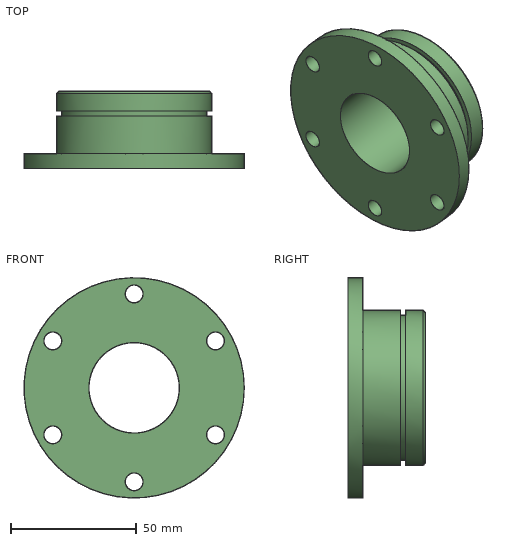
import cadquery as cq

flange_diameter = 88.0
flange_thickness = 6.0
total_length = 31.0
hub_diameter = 62.0
bore_diameter = 36.0
hub_end_chamfer = 1.0

groove_width = 2.0
groove_diameter = 58.0
groove_to_hub_end = 8.0

bolt_hole_count = 6
bolt_hole_diameter = 7.0
bolt_circle_diameter = 75.0
first_bolt_angle = 90.0


def cylinder_along_y(diameter, start, length):
    """Cylinder on the Y axis that runs toward +Y from y = start."""
    return cq.Workplane("XZ").workplane(offset=-start).circle(diameter / 2).extrude(-length)


def make_body():
    """Flange with its front face at y = 0, and the hub with a chamfered far end."""
    flange = cylinder_along_y(flange_diameter, 0, flange_thickness)
    hub = cylinder_along_y(hub_diameter, 0, total_length)
    hub = hub.faces(">Y").edges().chamfer(hub_end_chamfer)
    return flange.union(hub)


def make_groove():
    """Ring to remove from the outside of the hub."""
    groove_start = total_length - groove_to_hub_end - groove_width
    outer = cylinder_along_y(hub_diameter, groove_start, groove_width)
    inner = cylinder_along_y(groove_diameter, groove_start, groove_width)
    return outer.cut(inner)


def make_bolt_holes():
    """Evenly spaced cylinders to remove from the flange."""
    return (
        cq.Workplane("XZ")
        .polarArray(bolt_circle_diameter / 2, first_bolt_angle, 360, bolt_hole_count)
        .circle(bolt_hole_diameter / 2)
        .extrude(-flange_thickness)
    )


bore = cylinder_along_y(bore_diameter, 0, total_length)

result = make_body().cut(make_groove()).cut(bore).cut(make_bolt_holes())